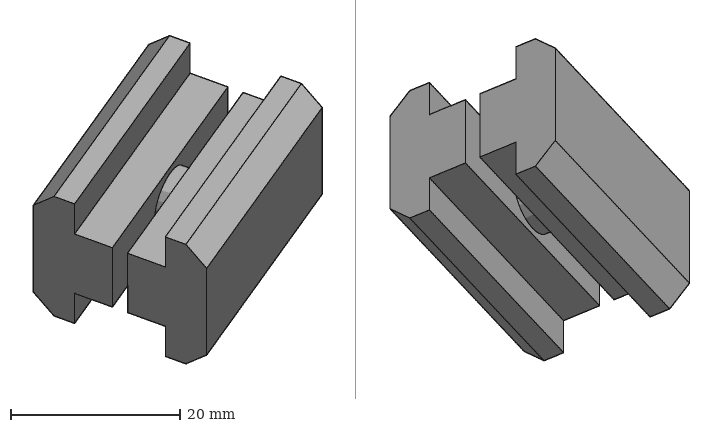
import cadquery as cq

width = 23.0
length = 30.0
height = 20.1

gap = 2.0
flange_thickness = 5.5
web_height = 10.0
chamfer = 2.75

pin_diameter = 8.0

outer_x = width / 2
inner_x = gap / 2
flange_x = outer_x - flange_thickness


def make_jaw():
    """Right-hand jaw: a T-profile along Y with chamfered outer flange edges."""
    top = height / 2
    web_top = web_height / 2
    profile = [
        (inner_x, -web_top),
        (flange_x, -web_top),
        (flange_x, -top),
        (outer_x - chamfer, -top),
        (outer_x, -top + chamfer),
        (outer_x, top - chamfer),
        (outer_x - chamfer, top),
        (flange_x, top),
        (flange_x, web_top),
        (inner_x, web_top),
    ]
    return cq.Workplane("XZ").polyline(profile).close().extrude(length / 2, both=True)


def make_pin():
    """Pin along X, reaching to the root of each web."""
    return cq.Workplane("YZ").circle(pin_diameter / 2).extrude(flange_x, both=True)


right_jaw = make_jaw()
left_jaw = right_jaw.mirror("YZ")

result = right_jaw.union(left_jaw).union(make_pin())